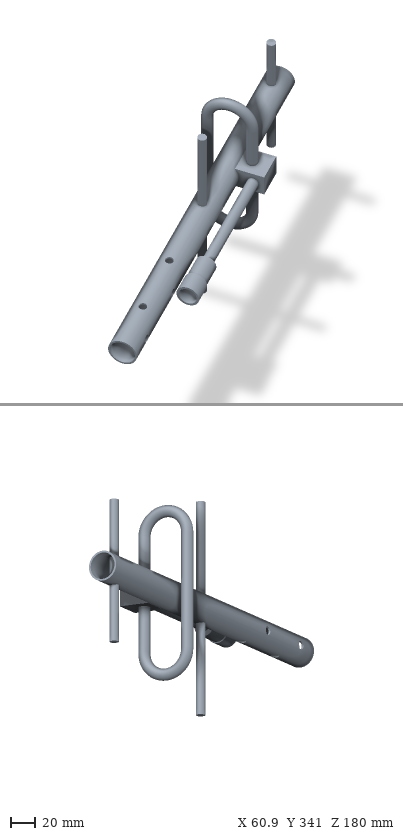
import cadquery as cq

boom_length = 341.0
boom_diameter = 25.4
boom_wall = 1.6
boom_bore = boom_diameter - 2 * boom_wall

rod_diameter = 8.0
director_length = 120.0
director_from_far_end = 20.0
director_y = boom_length - director_from_far_end
reflector_length = 180.0
reflector_from_far_end = 169.0
reflector_y = boom_length - reflector_from_far_end

mount_hole_diameter = 7.2
mount_hole_pitch = 57.0
first_upright_hole_y = 44.0
first_sideways_hole_y = 22.0
hole_cut_length = 2 * boom_diameter

bar_diameter = 10.0
loop_bend_radius = 20.0
loop_straight = 98.0
loop_x = -0.92
loop_from_far_end = 107.3
loop_y = boom_length - loop_from_far_end

block_width = 26.0
block_depth = 26.0
block_height = 20.0
block_right_x = 35.0

connector_diameter = 20.0
connector_length = 17.5
connector_bore = 16.0
collar_diameter = 18.0
collar_length = 22.5
cable_diameter = 10.0
feed_x = block_right_x - connector_diameter / 2
connector_y = 80.0
collar_y = connector_y + connector_length
cable_y = collar_y + collar_length


def cylinder_along_y(diameter, x, y_start, length):
    """Cylinder from y_start toward +Y, its axis at the given X and Z = 0."""
    profile = cq.Workplane("XZ", origin=(x, y_start, 0)).circle(diameter / 2)
    return profile.extrude(-length)


def upright_cylinder(diameter, x, y, length):
    """Cylinder along Z, centred on Z = 0."""
    return cq.Workplane("XY", origin=(x, y, 0)).circle(diameter / 2).extrude(length / 2, both=True)


def sideways_cylinder(diameter, y, length):
    """Cylinder along X, centred on the boom axis."""
    return cq.Workplane("YZ", origin=(0, y, 0)).circle(diameter / 2).extrude(length / 2, both=True)


def make_boom():
    """Drilled boom tube carrying the director and reflector rods."""
    boom = cylinder_along_y(boom_diameter, 0, 0, boom_length)
    boom = boom.cut(cylinder_along_y(boom_bore, 0, 0, boom_length))
    for offset in (0, mount_hole_pitch):
        upright_y = first_upright_hole_y + offset
        sideways_y = first_sideways_hole_y + offset
        boom = boom.cut(upright_cylinder(mount_hole_diameter, 0, upright_y, hole_cut_length))
        boom = boom.cut(sideways_cylinder(mount_hole_diameter, sideways_y, hole_cut_length))
    boom = boom.union(upright_cylinder(rod_diameter, 0, director_y, director_length))
    return boom.union(upright_cylinder(rod_diameter, 0, reflector_y, reflector_length))


def make_loop():
    """Closed racetrack bar: two straight legs joined by a half-torus at each end."""
    left_x = loop_x - loop_bend_radius
    right_x = loop_x + loop_bend_radius
    bend_z = loop_straight / 2
    crown_z = bend_z + loop_bend_radius
    path = (
        cq.Workplane("XZ", origin=(0, loop_y, 0))
        .moveTo(left_x, -bend_z)
        .lineTo(left_x, bend_z)
        .threePointArc((loop_x, crown_z), (right_x, bend_z))
        .lineTo(right_x, -bend_z)
        .threePointArc((loop_x, -crown_z), (left_x, -bend_z))
        .close()
    )
    section = cq.Workplane("XY", origin=(left_x, loop_y, -bend_z)).circle(bar_diameter / 2)
    return section.sweep(path)


def make_feed_block():
    """Block with a round saddle where it meets the boom."""
    block_x = block_right_x - block_width / 2
    block = cq.Workplane("XY").box(block_width, block_depth, block_height)
    block = block.translate((block_x, loop_y, 0))
    return block.cut(cylinder_along_y(boom_diameter, 0, 0, boom_length))


def make_feed_cable():
    """Cable running from inside the feed block to the connector."""
    connector = cylinder_along_y(connector_diameter, feed_x, connector_y, connector_length)
    bore = cylinder_along_y(connector_bore, feed_x, connector_y, connector_length)
    collar = cylinder_along_y(collar_diameter, feed_x, collar_y, collar_length)
    cable = cylinder_along_y(cable_diameter, feed_x, cable_y, loop_y - cable_y)
    return connector.cut(bore).union(collar).union(cable)


def make_dipole():
    """Folded dipole, feed block and feed cable as one solid."""
    return make_feed_block().union(make_loop()).union(make_feed_cable())


boom = make_boom()
dipole = make_dipole()
result = cq.Compound.makeCompound([boom.val(), dipole.val()])